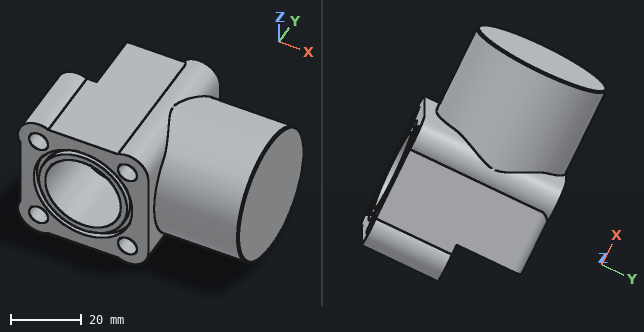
import cadquery as cq


block_depth = 44.4
block_half_width = 20.0
bolt_offset = 14.1
lobe_radius = 6.6
bolt_hole_diameter = 6.0
outlet_face_x = bolt_offset + lobe_radius
back_edge_radius = 2.95

step_x = -8.05
step_y = 24.0

outlet_radius = 20.4
overall_length = 68.25
outlet_end_x = overall_length - outlet_face_x
outlet_chamfer = 0.4

bore_diameter = 24.0
bore_floor = 4.0
bore_depth = step_y - bore_floor
groove_outer_diameter = 31.25
groove_inner_diameter = 28.0
groove_depth = 2.0


def box_between(x_min, x_max, y_min, y_max, half_height):
    """Box centred on Z = 0 with the given X and Y limits."""
    return (
        cq.Workplane("XY")
        .box(x_max - x_min, y_max - y_min, 2 * half_height, centered=(False, False, True))
        .translate((x_min, y_min, 0))
    )


def cylinder_from_face(x, z, diameter, depth):
    """Cylinder running along +Y from the mounting face."""
    return cq.Workplane("XZ").center(x, z).circle(diameter / 2).extrude(-depth)


def bolt_axis_cylinders(diameter):
    """Full-depth cylinders on the four bolt axes."""
    return [
        cylinder_from_face(x, z, diameter, block_depth)
        for x in (-bolt_offset, bolt_offset)
        for z in (-bolt_offset, bolt_offset)
    ]


def make_block():
    core = box_between(-bolt_offset, bolt_offset, 0, block_depth, block_half_width)
    core = core.edges("|X and >Y").fillet(back_edge_radius)
    sides = box_between(-block_half_width, outlet_face_x, 0, block_depth, bolt_offset)
    block = core.union(sides)
    for lobe in bolt_axis_cylinders(2 * lobe_radius):
        block = block.union(lobe)
    step = box_between(-outlet_face_x, step_x, step_y, block_depth, outlet_face_x)
    return block.cut(step)


def make_outlet():
    return (
        cq.Workplane("YZ", origin=(bolt_offset, step_y, 0))
        .circle(outlet_radius)
        .extrude(outlet_end_x - bolt_offset)
        .faces(">X")
        .chamfer(outlet_chamfer)
    )


def make_groove():
    outer = cylinder_from_face(0, 0, groove_outer_diameter, groove_depth)
    return outer.cut(cylinder_from_face(0, 0, groove_inner_diameter, groove_depth))


body = make_block().union(make_outlet())
for hole in bolt_axis_cylinders(bolt_hole_diameter):
    body = body.cut(hole)
body = body.cut(cylinder_from_face(0, 0, bore_diameter, bore_depth))
result = body.cut(make_groove())